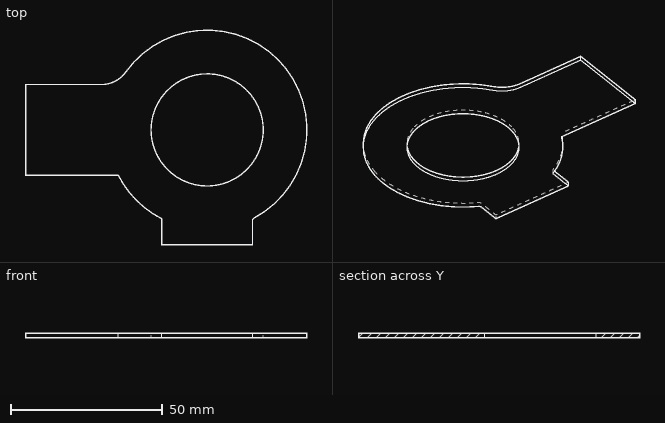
import cadquery as cq
import math

thickness = 1.6
bore_diameter = 37.0
ring_radius = 33.0
tab_width = 30.0
long_tab_reach = 60.0
short_tab_reach = 38.0
long_tab_fillet = 10.0
short_tab_fillet = 1.0

half_tab_width = tab_width / 2
corner_reach = math.sqrt(ring_radius**2 - half_tab_width**2)


def make_ring_disc():
    return cq.Workplane("XY").circle(ring_radius).extrude(thickness)


def make_long_tab():
    tab = cq.Workplane("XY").center(-long_tab_reach / 2, 0)
    return tab.rect(long_tab_reach, tab_width).extrude(thickness)


def make_short_tab():
    tab = cq.Workplane("XY").center(0, -short_tab_reach / 2)
    return tab.rect(tab_width, short_tab_reach).extrude(thickness)


def fillet_corner(body, x, y, radius):
    """Round the upright edge that stands at (x, y)."""
    corner = cq.selectors.NearestToPointSelector((x, y, thickness / 2))
    return body.edges("|Z").edges(corner).fillet(radius)


def cut_bore(body):
    return body.faces(">Z").workplane(origin=(0, 0, thickness)).hole(bore_diameter)


washer = make_ring_disc().union(make_long_tab()).union(make_short_tab()).clean()
washer = fillet_corner(washer, -corner_reach, half_tab_width, long_tab_fillet)
washer = fillet_corner(washer, half_tab_width, -corner_reach, short_tab_fillet)
result = cut_bore(washer)